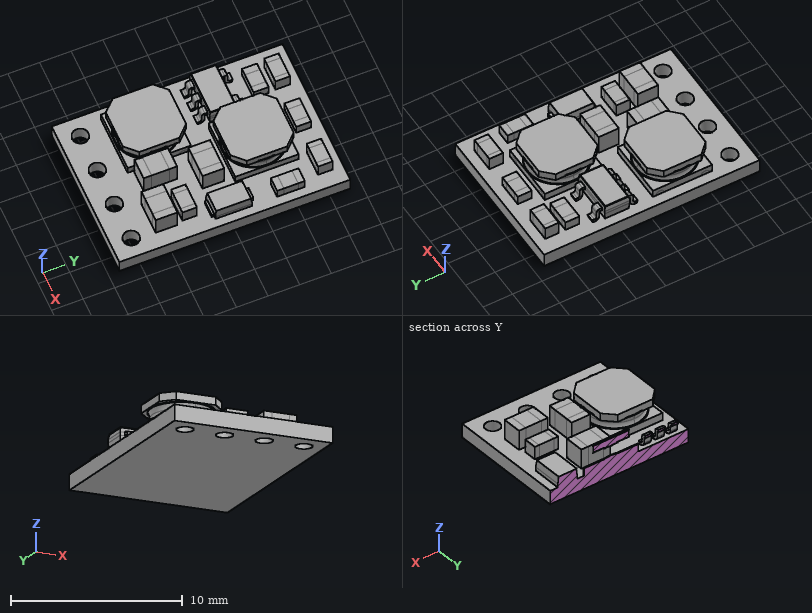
import cadquery as cq

BOARD_X = 10.15
BOARD_Y = 14.61
BOARD_Z = 1.0
HOLE_DIAMETER = 1.02
HOLE_PITCH = 2.54
HOLE_COUNT = 4
HOLE_ROW_Y = -6.02

RESISTOR = (1.71, 0.92, 0.89, 0.3)
SMALL_CAPACITOR = (1.75, 0.95, 0.65, 0.42)
LARGE_CAPACITOR = (2.12, 1.37, 1.37, 0.5)

CHIPS = [
    (RESISTOR, -3.18, 6.15, 0),
    (RESISTOR, 3.18, 6.15, 0),
    (RESISTOR, 3.02, -2.35, 0),
    (SMALL_CAPACITOR, 0.0, 6.12, 0),
    (SMALL_CAPACITOR, -3.15, 4.76, 0),
    (SMALL_CAPACITOR, 4.03, 3.78, 90),
    (LARGE_CAPACITOR, 1.24, -0.19, 0),
    (LARGE_CAPACITOR, 2.98, -3.89, 0),
    (LARGE_CAPACITOR, 0.42, -3.04, 90),
]

INDUCTORS = [((0.6, 3.07), -90), ((-2.4, -2.47), 0)]
INDUCTOR_SIDE = 4.0
INDUCTOR_HEIGHT = 1.83
INDUCTOR_BASE_Z = 0.53
CAP_THICKNESS = 0.51
CAP_CORNER = 0.73
RIM_THICKNESS = 0.05
WINDING_END_RADIUS = 1.96
WAIST_RADIUS = 1.87
PIN_RADIUS = 0.29
PIN_SPACING = 3.05

DRIVER_CENTRE = (-3.11, 2.07)
DRIVER_X = 3.02
DRIVER_Y = 1.71
DRIVER_INSET = 0.06
DRIVER_BOTTOM_Z = 0.16
DRIVER_TOP_Z = 1.21
DRIVER_LID_THICKNESS = 0.05
DRIVER_LID_INSET = 0.07
LEAD_PITCH = 0.96
LEAD_WIDTH = 0.51
LEAD_THICKNESS = 0.2
LEAD_TOP_Z = 0.89
LEAD_REACH = 1.55
LEAD_TOE_SLANT = 0.06
LEAD_LEG = 1.24
LEAD_HEEL_RADIUS = 0.15

DIODE_CENTRE = (3.8, 0.18)
DIODE_X = 1.45
DIODE_Y = 2.32
DIODE_INSET = 0.06
DIODE_SEAM_Z = 0.26
DIODE_HEIGHT = 0.75
DIODE_LEAD_Z = 0.23
DIODE_FRONT_LEAD_WIDTH = 1.02
DIODE_FRONT_LEAD_REACH = 0.16
DIODE_BACK_LEAD_WIDTH = 0.75
DIODE_BACK_LEAD_REACH = 0.22


def block(x, y, z, base_z=0.0):
    """Box centred on X and Y, standing on base_z."""
    return cq.Workplane("XY", origin=(0, 0, base_z)).box(x, y, z, centered=(True, True, False))


def frustum(bottom, top, base_z, height):
    """Straight-sided loft between two centred rectangles."""
    return cq.Workplane("XY", origin=(0, 0, base_z)).rect(*bottom).workplane(offset=height).rect(*top).loft()


def join(parts):
    """Fuse parts and keep the seams where flush faces meet."""
    joined = parts[0]
    for part in parts[1:]:
        joined = joined.union(part, clean=False)
    return joined


def make_board():
    """Flat board with a row of through holes."""
    first_x = -HOLE_PITCH * (HOLE_COUNT - 1) / 2
    holes = [(first_x + i * HOLE_PITCH, HOLE_ROW_Y) for i in range(HOLE_COUNT)]
    return block(BOARD_X, BOARD_Y, BOARD_Z).faces(">Z").workplane().pushPoints(holes).hole(HOLE_DIAMETER)


def make_chip(kind):
    """Chip body with a flush terminal at each end."""
    length, width, height, terminal = kind
    terminal_x = (length - terminal) / 2
    parts = [block(length - 2 * terminal, width, height)]
    for side in (-1, 1):
        parts.append(block(terminal, width, height).translate((side * terminal_x, 0, 0)))
    return join(parts)


def make_inductor():
    """Inductor with two round pins set into its base along X."""
    cap_z = INDUCTOR_HEIGHT - CAP_THICKNESS
    rim_radius = INDUCTOR_SIDE / 2
    winding_bottom = INDUCTOR_BASE_Z + RIM_THICKNESS
    winding_top = cap_z - RIM_THICKNESS
    half_height = (winding_top - winding_bottom) / 2
    waist_depth = WINDING_END_RADIUS - WAIST_RADIUS
    hollow_radius = (half_height**2 + waist_depth**2) / (2 * waist_depth)
    base = block(INDUCTOR_SIDE, INDUCTOR_SIDE, INDUCTOR_BASE_Z)
    half_drum = (
        cq.Workplane("XZ")
        .moveTo(0, INDUCTOR_BASE_Z)
        .lineTo(rim_radius, INDUCTOR_BASE_Z)
        .lineTo(rim_radius, winding_bottom)
        .lineTo(WINDING_END_RADIUS, winding_bottom)
        .radiusArc((WAIST_RADIUS, winding_bottom + half_height), hollow_radius)
        .radiusArc((WINDING_END_RADIUS, winding_top), hollow_radius)
        .lineTo(rim_radius, winding_top)
        .lineTo(rim_radius, cap_z)
        .lineTo(0, cap_z)
        .close()
        .revolve(180, (0, 0), (0, 1), clean=False)
        .rotate((0, 0, 0), (0, 0, 1), 90)
    )
    other_half = half_drum.rotate((0, 0, 0), (0, 0, 1), 180)
    cap = block(INDUCTOR_SIDE, INDUCTOR_SIDE, CAP_THICKNESS, cap_z).edges("|Z").chamfer(CAP_CORNER)
    pins = (
        cq.Workplane("YZ")
        .pushPoints([(-PIN_SPACING / 2, 0), (PIN_SPACING / 2, 0)])
        .circle(PIN_RADIUS)
        .extrude(INDUCTOR_SIDE / 2, both=True)
        .intersect(base)
    )
    return join([base, pins, half_drum, other_half, cap])


def make_driver_lead():
    """Gull-wing lead running from the chip's middle toward -Y."""
    under_z = LEAD_TOP_Z - LEAD_THICKNESS
    inner_leg = LEAD_LEG - LEAD_THICKNESS
    sole_radius = LEAD_HEEL_RADIUS + LEAD_THICKNESS
    foot_start = LEAD_LEG + LEAD_HEEL_RADIUS
    profile = (
        cq.Workplane("YZ")
        .moveTo(0, LEAD_TOP_Z)
        .lineTo(-inner_leg, LEAD_TOP_Z)
        .radiusArc((-LEAD_LEG, under_z), -LEAD_THICKNESS)
        .lineTo(-LEAD_LEG, sole_radius)
        .radiusArc((-foot_start, LEAD_THICKNESS), LEAD_HEEL_RADIUS)
        .lineTo(-LEAD_REACH, LEAD_THICKNESS)
        .lineTo(LEAD_TOE_SLANT - LEAD_REACH, 0)
        .lineTo(-foot_start, 0)
        .radiusArc((-inner_leg, sole_radius), -sole_radius)
        .lineTo(-inner_leg, under_z)
        .lineTo(0, under_z)
        .close()
    )
    return profile.extrude(LEAD_WIDTH / 2, both=True)


def make_driver():
    """Drafted body with a straight band at the leads and a thin lid, three leads against two."""
    wide = (DRIVER_X, DRIVER_Y)
    narrow = (DRIVER_X - 2 * DRIVER_INSET, DRIVER_Y - 2 * DRIVER_INSET)
    band_z = LEAD_TOP_Z - LEAD_THICKNESS
    lower = frustum(narrow, wide, DRIVER_BOTTOM_Z, band_z - DRIVER_BOTTOM_Z)
    band = block(*wide, LEAD_THICKNESS, band_z)
    lid_z = DRIVER_TOP_Z - DRIVER_LID_THICKNESS
    upper = frustum(wide, narrow, LEAD_TOP_Z, lid_z - LEAD_TOP_Z)
    lid_x = DRIVER_X - 2 * DRIVER_LID_INSET
    lid_y = DRIVER_Y - 2 * DRIVER_LID_INSET
    lid = block(lid_x, lid_y, DRIVER_LID_THICKNESS, lid_z)
    parts = [band, lower, upper, lid]
    front_lead = make_driver_lead()
    back_lead = front_lead.mirror("XZ")
    for step in (-1, 0, 1):
        parts.append(front_lead.translate((step * LEAD_PITCH, 0, 0)))
    for step in (-1, 1):
        parts.append(back_lead.translate((step * LEAD_PITCH, 0, 0)))
    return join(parts)


def make_diode():
    """Body with a drafted upper half and a flat lead at each end."""
    wide = (DIODE_X, DIODE_Y)
    narrow = (DIODE_X - 2 * DIODE_INSET, DIODE_Y - 2 * DIODE_INSET)
    lower = block(*wide, DIODE_SEAM_Z)
    upper = frustum(wide, narrow, DIODE_SEAM_Z, DIODE_HEIGHT - DIODE_SEAM_Z)
    front_y = -(DIODE_Y + DIODE_FRONT_LEAD_REACH) / 2
    back_y = (DIODE_Y + DIODE_BACK_LEAD_REACH) / 2
    front_lead = block(DIODE_FRONT_LEAD_WIDTH, DIODE_FRONT_LEAD_REACH, DIODE_LEAD_Z)
    front_lead = front_lead.translate((0, front_y, 0))
    back_lead = block(DIODE_BACK_LEAD_WIDTH, DIODE_BACK_LEAD_REACH, DIODE_LEAD_Z)
    back_lead = back_lead.translate((0, back_y, 0))
    return join([lower, upper, front_lead, back_lead])


def place(part, centre, turn=0):
    """Stand a part on the board's upper face."""
    x, y = centre
    return part.rotate((0, 0, 0), (0, 0, 1), turn).translate((x, y, BOARD_Z))


parts = [make_board()]
for kind, x, y, turn in CHIPS:
    parts.append(place(make_chip(kind), (x, y), turn))
for centre, turn in INDUCTORS:
    parts.append(place(make_inductor(), centre, turn))
parts.append(place(make_driver(), DRIVER_CENTRE))
parts.append(place(make_diode(), DIODE_CENTRE))

result = join(parts).val().Solids()[0]